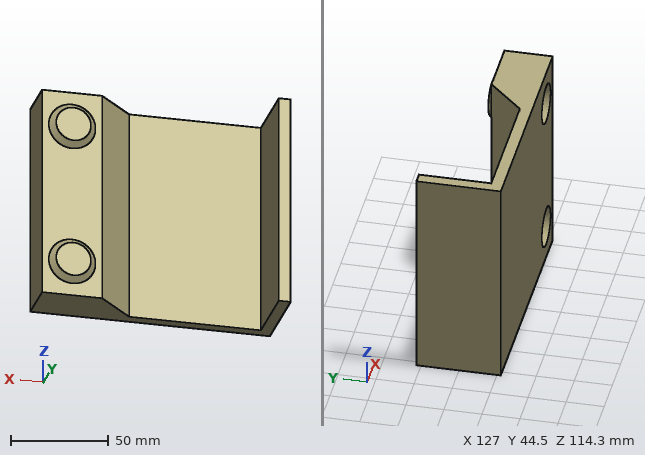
import cadquery as cq

length = 127.0
depth = 44.5
height = 114.3

wall = 6.4
block_depth = 25.4
block_length = 31.8
ramp_run = block_depth - wall

hole_diameter = 21.3
hole_depth = block_depth
button_diameter = 24.8
button_height = 3.2
button_top_diameter = button_diameter - 2 * button_height
hole_x = length - block_length / 2
hole_spacing = 76.2
hole_heights = [(height - hole_spacing) / 2, (height + hole_spacing) / 2]


def make_bracket():
    """L-shaped plate with a thick block on the +X end."""
    block_start = length - block_length
    return (
        cq.Workplane("XY")
        .moveTo(0, 0)
        .lineTo(length, 0)
        .lineTo(length, block_depth)
        .lineTo(block_start, block_depth)
        .lineTo(block_start - ramp_run, wall)
        .lineTo(wall, wall)
        .lineTo(wall, depth)
        .lineTo(0, depth)
        .close()
        .extrude(height)
    )


def round_along_y(start_diameter, end_diameter, start_y, span, z):
    """Cylinder or cone growing toward +Y from start_y on a hole axis."""
    plane = cq.Plane(origin=(hole_x, start_y, z), xDir=(1, 0, 0), normal=(0, 1, 0))
    start_radius = start_diameter / 2
    end_radius = end_diameter / 2
    return (
        cq.Workplane(plane)
        .circle(start_radius)
        .workplane(offset=span)
        .circle(end_radius)
        .loft(ruled=True)
    )


result = make_bracket()
for z in hole_heights:
    button = round_along_y(button_diameter, button_top_diameter, block_depth, button_height, z)
    hole = round_along_y(hole_diameter, hole_diameter, 0, hole_depth, z)
    result = result.union(button).cut(hole)